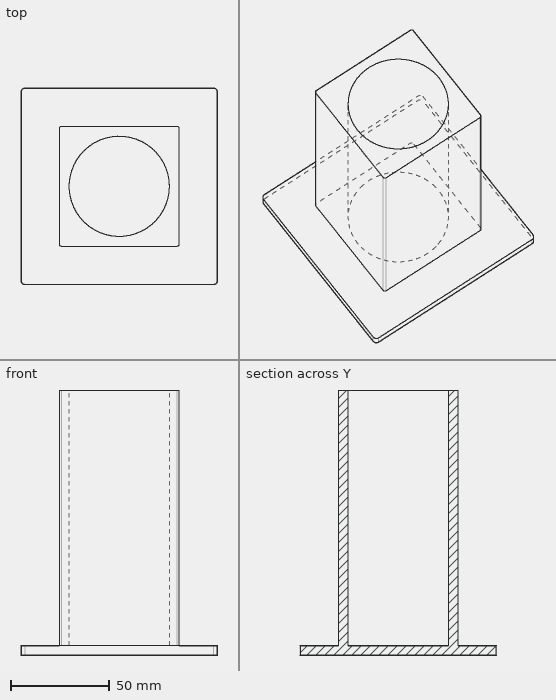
import cadquery as cq

total_height = 135.0
plate_side = 100.0
plate_thickness = 5.0
plate_corner_radius = 2.0

column_side = 61.0
column_corner_radius = 1.1
bore_diameter = 51.0
bore_floor_height = plate_thickness


def rounded_square_prism(side, height, corner_radius):
    """Square prism standing on Z = 0 with rounded vertical edges."""
    return (
        cq.Workplane("XY")
        .rect(side, side)
        .extrude(height)
        .edges("|Z")
        .fillet(corner_radius)
    )


base_plate = rounded_square_prism(plate_side, plate_thickness, plate_corner_radius)
column = rounded_square_prism(column_side, total_height, column_corner_radius)

bore = (
    cq.Workplane("XY")
    .workplane(offset=bore_floor_height)
    .circle(bore_diameter / 2)
    .extrude(total_height - bore_floor_height)
)

result = base_plate.union(column).cut(bore)